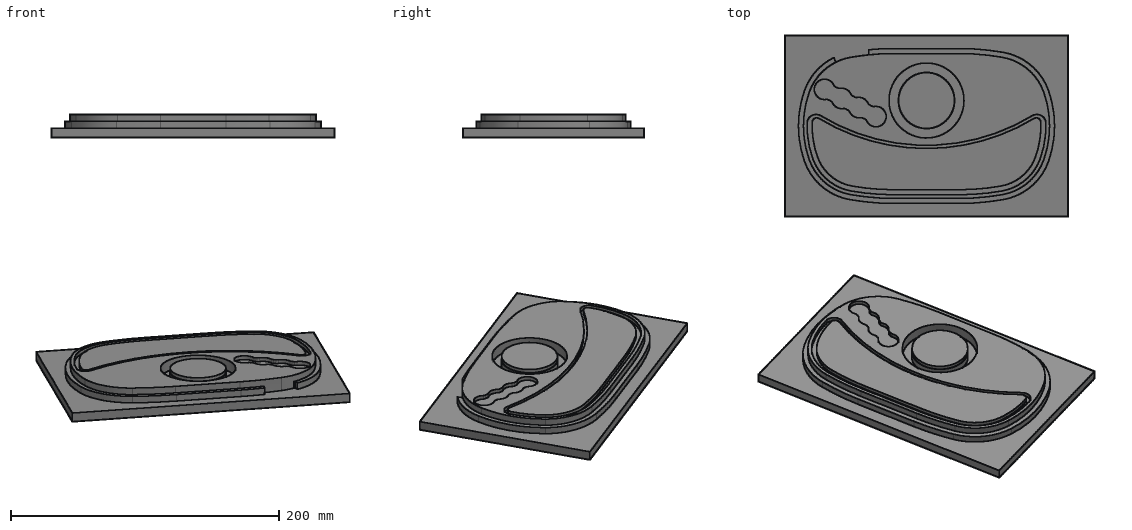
import cadquery as cq
import math

plate_length = 211.35
plate_width = 135.24
plate_height = 7.0

total_height = 17.35
ledge_top = 12.15

oval_half_length = 95.6
oval_half_width = 57.8
straight_half_length = 24.4
shoulder_radius = 190.0
corner_radius = 43.8
end_radius = 78.7

ledge_width = 3.75
rim_width = 2.75
groove_width = 3.75
groove_inset = ledge_width + rim_width
island_inset = groove_inset + groove_width

crescent_arc_center_y = 137.9
groove_arc_radius = 152.3
groove_arc_gap = 2.4
groove_tip_radius = 6.7
island_tip_radius = 3.4
groove_depth = 3.0

well_center = (0.0, 19.0)
well_diameter = 56.0
well_depth = 8.5
post_diameter = 41.67
post_foot_diameter = 42.0
post_step_depth = 2.8

finger_start = (-76.1, 27.3)
finger_end = (-37.7, 7.0)
finger_count = 4
finger_radius = 7.6
finger_slot_width = 11.0
finger_depth = 3.0
finger_valley_radius = 3.0

gap_left_inner = (-68.0, 48.0)
gap_left_outer = (-71.0, 56.6)
gap_right_x = -43.0


def arc_midpoint(center, radius, start, end):
    """Point halfway along the minor arc from start to end."""
    middle_x = (start[0] + end[0]) / 2 - center[0]
    middle_y = (start[1] + end[1]) / 2 - center[1]
    scale = radius / math.hypot(middle_x, middle_y)
    return (center[0] + middle_x * scale, center[1] + middle_y * scale)


def point_beyond(center, through, radius):
    """Point at the given radius from center, in the direction of through."""
    angle = math.atan2(through[1] - center[1], through[0] - center[0])
    return (center[0] + radius * math.cos(angle), center[1] + radius * math.sin(angle))


def oval_solid(inset, bottom, top):
    """Prism whose outline is the lower tier oval moved inward by inset."""
    shoulder_center = (straight_half_length, oval_half_width - shoulder_radius)
    end_center = (oval_half_length - end_radius, 0.0)

    shoulder_reach = shoulder_radius - corner_radius
    end_reach = end_radius - corner_radius
    span_x = end_center[0] - shoulder_center[0]
    span_y = end_center[1] - shoulder_center[1]
    span = math.hypot(span_x, span_y)
    along = (shoulder_reach**2 - end_reach**2 + span**2) / (2 * span)
    across = math.sqrt(shoulder_reach**2 - along**2)
    corner_center = (
        shoulder_center[0] + (span_x * along + span_y * across) / span,
        shoulder_center[1] + (span_y * along - span_x * across) / span,
    )

    straight_end = (straight_half_length, oval_half_width - inset)
    shoulder_end = point_beyond(shoulder_center, corner_center, shoulder_radius - inset)
    corner_end = point_beyond(end_center, corner_center, end_radius - inset)
    end_tip = (oval_half_length - inset, 0.0)

    shoulder_mid = arc_midpoint(shoulder_center, shoulder_radius - inset, straight_end, shoulder_end)
    corner_mid = arc_midpoint(corner_center, corner_radius - inset, shoulder_end, corner_end)
    end_mid = arc_midpoint(end_center, end_radius - inset, corner_end, end_tip)

    quarter = (
        cq.Workplane("XY")
        .workplane(offset=bottom)
        .moveTo(0, 0)
        .lineTo(0, oval_half_width - inset)
        .lineTo(*straight_end)
        .threePointArc(shoulder_mid, shoulder_end)
        .threePointArc(corner_mid, corner_end)
        .threePointArc(end_mid, end_tip)
        .close()
        .extrude(top - bottom)
    )
    half = quarter.union(quarter.mirror("YZ"))
    return half.union(half.mirror("XZ")).clean()


def cylinder(center, radius, bottom, top):
    """Vertical cylinder between two heights."""
    return cq.Workplane("XY").workplane(offset=bottom).center(*center).circle(radius).extrude(top - bottom)


def crescent_solid(inset, arc_radius, tip_radius):
    """Oval with a round bite out of its back and two rounded tips."""
    bottom = total_height - groove_depth
    bite = cylinder((0, crescent_arc_center_y), arc_radius, bottom, total_height)
    crescent = oval_solid(inset, bottom, total_height).cut(bite)
    tips = cq.selectors.BoxSelector(
        (-oval_half_length, 0, bottom),
        (oval_half_length, oval_half_width, total_height),
    )
    return crescent.edges("|Z").edges(tips).edges(">X or <X").fillet(tip_radius)


def crescent_groove():
    """Ring-shaped groove left between two crescents."""
    outer = crescent_solid(groove_inset, groove_arc_radius, groove_tip_radius)
    island = crescent_solid(island_inset, groove_arc_radius + groove_arc_gap, island_tip_radius)
    return outer.cut(island)


def round_well():
    """Ring-shaped well around a post with a slightly wider foot."""
    floor = total_height - well_depth
    step = total_height - post_step_depth
    well = cylinder(well_center, well_diameter / 2, floor, total_height)
    post = cylinder(well_center, post_diameter / 2, floor, total_height)
    foot = cylinder(well_center, post_foot_diameter / 2, floor, step)
    return well.cut(post).cut(foot)


def finger_pocket():
    """Row of overlapping round pockets joined by a straight slot, with smooth valleys."""
    floor = total_height - finger_depth
    run_x = finger_end[0] - finger_start[0]
    run_y = finger_end[1] - finger_start[1]
    pocket = (
        cq.Workplane("XY")
        .workplane(offset=floor)
        .center(finger_start[0] + run_x / 2, finger_start[1] + run_y / 2)
        .transformed(rotate=(0, 0, math.degrees(math.atan2(run_y, run_x))))
        .rect(math.hypot(run_x, run_y), finger_slot_width)
        .extrude(finger_depth)
    )
    for index in range(finger_count):
        share = index / (finger_count - 1)
        center = (finger_start[0] + run_x * share, finger_start[1] + run_y * share)
        pocket = pocket.union(cylinder(center, finger_radius, floor, total_height))

    return pocket.edges("|Z").fillet(finger_valley_radius)


def ledge_gap():
    """Block that removes a stretch of the ledge at the back left."""
    return (
        cq.Workplane("XY")
        .workplane(offset=plate_height)
        .polyline(
            [
                gap_left_inner,
                gap_left_outer,
                (gap_left_outer[0], oval_half_width),
                (gap_right_x, oval_half_width),
                (gap_right_x, gap_left_inner[1]),
            ]
        )
        .close()
        .extrude(ledge_top - plate_height)
    )


plate = cq.Workplane("XY").box(plate_length, plate_width, plate_height, centered=(True, True, False))
lower_tier = oval_solid(0, plate_height, ledge_top).cut(ledge_gap())
upper_tier = oval_solid(ledge_width, plate_height, total_height)

result = plate.union(lower_tier).union(upper_tier)
result = result.cut(crescent_groove()).cut(round_well()).cut(finger_pocket())